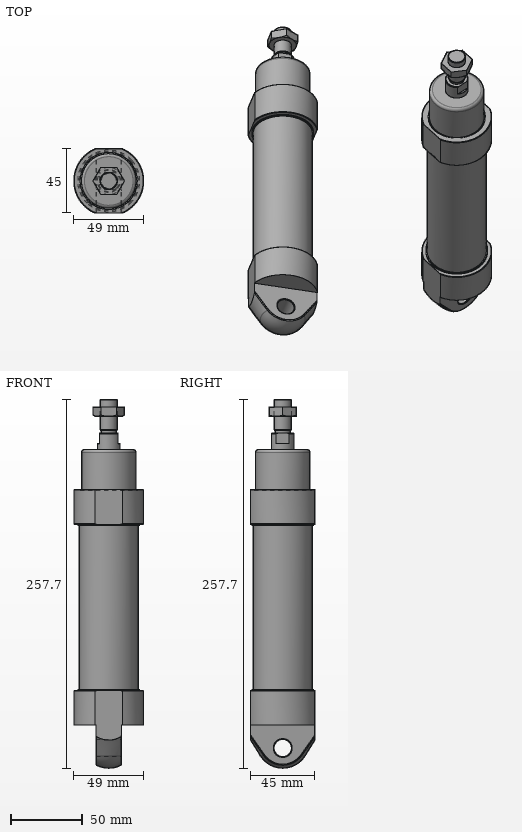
import cadquery as cq
import math

ROD_TOP = 243.5
LUG_TIP = -14.2

CAP_DIA = 49.0
FLAT_WIDTH = 45.0
CAP_HEIGHT = 24.2
REAR_CAP_BOTTOM = 16.0
REAR_CAP_TOP = REAR_CAP_BOTTOM + CAP_HEIGHT
FRONT_CAP_BOTTOM = 156.4
FRONT_CAP_TOP = FRONT_CAP_BOTTOM + CAP_HEIGHT
CAP_CHAMFER = 0.39
COLLAR_DIA = 43.3
COLLAR_HEIGHT = 0.8
TUBE_DIA = 41.5

NOSE_DIA = 38.0
NOSE_TOP = 208.7
NOSE_FILLET = 2.0
GROOVE_DIA = 40.0
GROOVE_DEPTH = 0.8

LUG_THICKNESS = 18.0
LUG_BALL_RADIUS = 18.5
LUG_CONE_ANGLE = 32.0
PIVOT_DIA = 12.0
PIVOT_CHAMFER = 0.5

ROD_DIA = 16.0
ROD_SHOULDER = 220.0
SHOULDER_CHAMFER = 0.5
ROD_FLAT_WIDTH = 13.1
ROD_FLAT_LENGTH = 7.2
THREAD_DIA = 12.0
RELIEF_DIA = 10.5
RELIEF_LENGTH = 2.0
THREAD_CHAMFER = 0.39

NUT_ACROSS_FLATS = 19.0
NUT_THICKNESS = 6.5
NUT_TOP = ROD_TOP - 5.2
NUT_CHAMFER_ANGLE = 30.0


def cylinder(diameter, bottom, top):
    return cq.Workplane("XY").workplane(offset=bottom).circle(diameter / 2).extrude(top - bottom)


def slab(size_x, size_y, bottom, top):
    return cq.Workplane("XY").workplane(offset=bottom).rect(size_x, size_y).extrude(top - bottom)


def make_cap(bottom, chamfered_ends):
    """Round cap with flats facing -Y and +Y and a fine chamfer on the chosen ends."""
    top = bottom + CAP_HEIGHT
    cap = cylinder(CAP_DIA, bottom, top).edges(chamfered_ends).chamfer(CAP_CHAMFER)
    return cap.intersect(slab(CAP_DIA, FLAT_WIDTH, bottom, top))


def make_lug():
    """Pivot lug cut from a ball-ended cone turned about the Z axis."""
    angle = math.radians(LUG_CONE_ANGLE)
    ball_centre = LUG_TIP + LUG_BALL_RADIUS
    tangent_radius = LUG_BALL_RADIUS * math.cos(angle)
    tangent_z = ball_centre - LUG_BALL_RADIUS * math.sin(angle)
    middle_angle = (angle + math.pi / 2) / 2
    arc_middle = (
        LUG_BALL_RADIUS * math.cos(middle_angle),
        ball_centre - LUG_BALL_RADIUS * math.sin(middle_angle),
    )
    cap_radius = CAP_DIA / 2
    cone_top = tangent_z + (cap_radius - tangent_radius) / math.tan(angle)
    turned = (
        cq.Workplane("XZ")
        .moveTo(0, LUG_TIP)
        .threePointArc(arc_middle, (tangent_radius, tangent_z))
        .lineTo(cap_radius, cone_top)
        .lineTo(cap_radius, REAR_CAP_BOTTOM)
        .lineTo(0, REAR_CAP_BOTTOM)
        .close()
        .revolve(360, (0, 0), (0, 1))
    )
    lug = turned.intersect(slab(LUG_THICKNESS, FLAT_WIDTH, LUG_TIP, REAR_CAP_BOTTOM))
    pivot_hole = cq.Workplane("YZ").circle(PIVOT_DIA / 2).extrude(LUG_THICKNESS / 2, both=True)
    lug = lug.cut(pivot_hole)
    return lug.faces("<X or >X").edges("%CIRCLE").chamfer(PIVOT_CHAMFER)


def make_housing():
    tube = cylinder(TUBE_DIA, REAR_CAP_TOP, FRONT_CAP_BOTTOM)
    rear_collar = cylinder(COLLAR_DIA, REAR_CAP_TOP, REAR_CAP_TOP + COLLAR_HEIGHT)
    front_collar = cylinder(COLLAR_DIA, FRONT_CAP_BOTTOM - COLLAR_HEIGHT, FRONT_CAP_BOTTOM)
    rear_cap = make_cap(REAR_CAP_BOTTOM, ">Z")
    front_cap = make_cap(FRONT_CAP_BOTTOM, "<Z or >Z")
    groove = cylinder(GROOVE_DIA, FRONT_CAP_TOP - GROOVE_DEPTH, FRONT_CAP_TOP)
    nose = cylinder(NOSE_DIA, FRONT_CAP_TOP - GROOVE_DEPTH, NOSE_TOP).edges(">Z").fillet(NOSE_FILLET)
    front_cap = front_cap.cut(groove).union(nose)
    rear_cap = rear_cap.union(make_lug())
    return tube.union(rear_collar).union(front_collar).union(rear_cap).union(front_cap)


def make_rod():
    """Stepped rod standing on the nose, with wrench flats and a thread relief."""
    shank = cylinder(ROD_DIA, NOSE_TOP, ROD_SHOULDER).edges(">Z").chamfer(SHOULDER_CHAMFER)
    flat_bottom = ROD_SHOULDER - ROD_FLAT_LENGTH
    flats = slab(ROD_DIA, ROD_DIA, flat_bottom, ROD_SHOULDER).cut(
        slab(ROD_FLAT_WIDTH, ROD_DIA, flat_bottom, ROD_SHOULDER)
    )
    thread_bottom = ROD_SHOULDER + RELIEF_LENGTH
    relief = cylinder(RELIEF_DIA, ROD_SHOULDER, thread_bottom)
    thread = cylinder(THREAD_DIA, thread_bottom, ROD_TOP).faces("<Z or >Z").edges().chamfer(THREAD_CHAMFER)
    return shank.cut(flats).union(relief).union(thread)


def make_nut():
    """Hexagonal nut with corners on the X axis, its lower corners bevelled by a cone."""
    across_corners = NUT_ACROSS_FLATS / math.cos(math.pi / 6)
    nut_bottom = NUT_TOP - NUT_THICKNESS
    hexagon = (
        cq.Workplane("XY")
        .workplane(offset=nut_bottom)
        .polygon(6, across_corners)
        .circle(THREAD_DIA / 2)
        .extrude(NUT_THICKNESS)
    )
    bevel_run = (across_corners - NUT_ACROSS_FLATS) / 2
    bevel_rise = bevel_run * math.tan(math.radians(NUT_CHAMFER_ANGLE))
    blank = cylinder(across_corners, nut_bottom, NUT_TOP).edges("<Z").chamfer(bevel_rise, bevel_run)
    return hexagon.intersect(blank)


housing = make_housing()
rod = make_rod()
nut = make_nut()

result = cq.Compound.makeCompound([housing.val(), rod.val(), nut.val()])